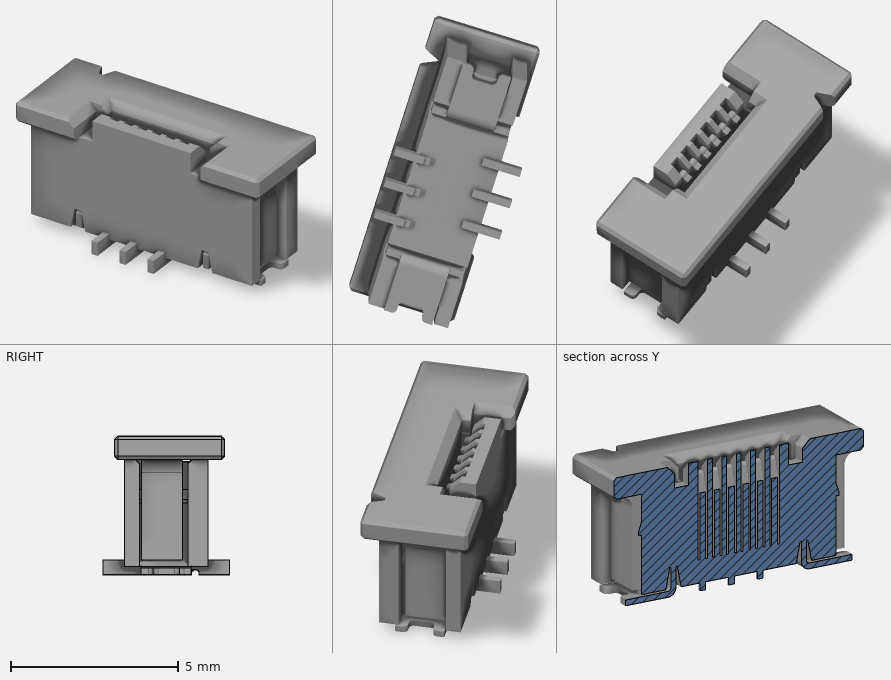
import cadquery as cq
import math


housing_length = 7.9
housing_width = 2.5
housing_bottom = 0.25
front_y = -housing_width / 2
housing_half = housing_length / 2

plate_length = 8.7
plate_front = -1.55
plate_back = 1.75
plate_bottom = 3.45
plate_thickness = 0.7
top_z = plate_bottom + plate_thickness
plate_chamfer = 0.1
plate_gap_half = 2.22
plate_gap_back = -0.3
lead_in = 0.26
opening_half = 1.83
opening_back = -0.04

notch_x = -3.075
notch_mouth = 0.58
notch_floor = 0.14
notch_depth = 0.5

cavity_half = 1.75
cavity_floor = 1.0
wall_back = -0.43
wall_bevel = 0.32
ledge_chamfer = plate_gap_back - wall_back

contact_pitch = 0.5
contact_count = 6
contact_width = 0.22
slot_width = 0.32
slot_front = -0.855
contact_front = -0.76
crown_front = -0.635
crown_back = -0.41
contact_top = 3.75
bump_tip = -0.25
crown_height = 0.08
bump_drop = 0.05
bump_height = 0.3
beam_taper_height = 0.6

leg_reach = 1.9
leg_height = 0.45
front_leg_inner = 0.7
rear_foot_inner = 0.98
rear_lip_y = 0.8
rear_lip_bottom = 0.1
rear_neck_bottom = 0.145
rear_fillet = 0.09

pocket_front = -0.805
pocket_back = 0.645
pocket_depth = 0.55
pocket_chamfer = 0.12
arm_front = -0.745
arm_back = 0.485
arm_bottom = 0.44
arm_recess = 0.26
arm_fillet = 0.38
latch_bottom = 2.15
latch_face_top = 2.26
latch_top = 2.56
latch_height = 0.1
vent_back = 0.72
vent_height = 0.06

tab_thickness = 0.2
tab_width = 1.5
tab_inner_x = 2.17
bend_outer_radius = 0.3
bend_inner_radius = bend_outer_radius - tab_thickness
tab_blade_width = 2.4
tab_bevel_bottom = 0.76
tab_bevel = 0.11
tab_notch_depth = 0.4
tab_notch_half = 0.39
tab_corner_radius = 0.145
groove_top = 0.93
groove_top_half = 0.125
groove_bottom_half = 0.26


def block(x0, x1, y0, y1, z0, z1):
    return cq.Workplane("XY").box(x1 - x0, y1 - y0, z1 - z0, centered=False).translate((x0, y0, z0))


def prism_along_x(points, x0, x1):
    """Extrude a (y, z) polygon from x0 to x1."""
    return cq.Workplane("YZ", origin=(x0, 0, 0)).polyline(points).close().extrude(x1 - x0)


def prism_along_y(points, y0, y1):
    """Extrude an (x, z) polygon from y0 to y1."""
    return cq.Workplane("XZ", origin=(0, y0, 0)).polyline(points).close().extrude(y0 - y1)


def prism_along_z(points, z0, z1):
    """Extrude an (x, y) polygon from z0 to z1."""
    return cq.Workplane("XY", origin=(0, 0, z0)).polyline(points).close().extrude(z1 - z0)


def both_ends(left_part):
    return left_part.union(left_part.mirror("YZ"))


def make_plate():
    plate_half = plate_length / 2
    plate = block(-plate_half, plate_half, plate_front, plate_back, plate_bottom, top_z)
    plate = plate.edges().chamfer(plate_chamfer)

    notch = prism_along_z(
        [
            (notch_x - notch_mouth / 2, plate_back),
            (notch_x - notch_floor / 2, plate_back - notch_depth),
            (notch_x + notch_floor / 2, plate_back - notch_depth),
            (notch_x + notch_mouth / 2, plate_back),
        ],
        plate_bottom,
        top_z,
    )

    gap = prism_along_y(
        [
            (-plate_gap_half, plate_bottom),
            (plate_gap_half, plate_bottom),
            (plate_gap_half, top_z - lead_in),
            (plate_gap_half + lead_in, top_z),
            (-plate_gap_half - lead_in, top_z),
            (-plate_gap_half, top_z - lead_in),
        ],
        plate_front,
        plate_gap_back,
    )
    gap_corner = prism_along_z(
        [
            (plate_gap_half, plate_front),
            (plate_gap_half + plate_chamfer, plate_front),
            (plate_gap_half, plate_front + plate_chamfer),
        ],
        plate_bottom,
        top_z,
    )
    return plate.cut(notch).cut(gap).cut(gap_corner).cut(make_opening())


def make_opening():
    """Cable opening, widened by a 45 degree lead-in at the back and both sides."""
    opening = block(-opening_half, opening_half, wall_back, opening_back, plate_bottom, top_z)
    funnel_width = opening_back + lead_in - front_y
    funnel = (
        cq.Workplane("XY", origin=(0, front_y + funnel_width / 2, top_z))
        .rect(2 * (opening_half + lead_in), funnel_width)
        .extrude(-lead_in, taper=45)
    )
    return opening.union(funnel)


def make_wall():
    """Raised front wall with its back top edge bevelled to guide the cable."""
    return prism_along_x(
        [
            (front_y, plate_bottom),
            (front_y, top_z),
            (wall_back - wall_bevel, top_z),
            (wall_back, top_z - wall_bevel),
            (wall_back, plate_bottom),
        ],
        -cavity_half,
        cavity_half,
    )


def make_ledge_chamfer():
    return prism_along_x(
        [
            (wall_back, plate_bottom),
            (plate_gap_back, plate_bottom),
            (plate_gap_back, plate_bottom - ledge_chamfer),
        ],
        -plate_gap_half,
        -cavity_half,
    )


def make_pocket():
    """Recess in the left end face, flared at its top edges."""
    return prism_along_x(
        [
            (pocket_front, housing_bottom),
            (pocket_front, plate_bottom - pocket_chamfer),
            (pocket_front - pocket_chamfer, plate_bottom),
            (pocket_back + pocket_chamfer, plate_bottom),
            (pocket_back, plate_bottom - pocket_chamfer),
            (pocket_back, housing_bottom),
        ],
        -housing_half,
        -housing_half + pocket_depth,
    )


def make_arm():
    """Actuator arm in the left pocket, blended into the plate by a concave fillet."""
    outer_x = -housing_half + arm_recess
    inner_x = -housing_half + pocket_depth
    fillet_start = plate_bottom - arm_fillet
    arc_reach = arm_fillet * math.sqrt(0.5)
    return (
        cq.Workplane("XZ", origin=(0, arm_back, 0))
        .moveTo(inner_x, arm_bottom)
        .lineTo(outer_x, arm_bottom)
        .lineTo(outer_x, fillet_start)
        .threePointArc(
            (outer_x - arm_fillet + arc_reach, fillet_start + arc_reach),
            (outer_x - arm_fillet, plate_bottom),
        )
        .lineTo(inner_x, plate_bottom)
        .close()
        .extrude(arm_back - arm_front)
    )


def make_latch():
    """Latch ridge across the floor of the left pocket."""
    floor_x = -housing_half + pocket_depth
    return prism_along_y(
        [
            (floor_x, latch_bottom),
            (floor_x - latch_height, latch_bottom),
            (floor_x - latch_height, latch_face_top),
            (floor_x, latch_top),
        ],
        pocket_front,
        pocket_back,
    )


def make_tab_groove():
    """Tapered groove under the left half of the housing, open at front and back."""
    center_x = -tab_inner_x - tab_thickness / 2
    return prism_along_y(
        [
            (center_x - groove_bottom_half, housing_bottom),
            (center_x - groove_top_half, groove_top),
            (center_x + groove_top_half, groove_top),
            (center_x + groove_bottom_half, housing_bottom),
        ],
        front_y,
        -front_y,
    )


def make_tab_blade():
    """Upright blade of the left tab, wider than its foot and bevelled at both top corners."""
    half_width = tab_blade_width / 2
    bevel_inner = half_width - tab_bevel
    return prism_along_x(
        [
            (-half_width, bend_outer_radius),
            (-half_width, tab_bevel_bottom),
            (-bevel_inner, tab_bevel_bottom + tab_bevel),
            (-bevel_inner, groove_top),
            (bevel_inner, groove_top),
            (bevel_inner, tab_bevel_bottom + tab_bevel),
            (half_width, tab_bevel_bottom),
            (half_width, bend_outer_radius),
        ],
        -tab_inner_x - tab_thickness,
        -tab_inner_x,
    )


def make_tab():
    """Left hold-down tab: a forked foot bent up into the housing."""
    outer_x = -tab_inner_x - tab_thickness
    foot_end = -housing_half
    half_width = tab_width / 2
    tab = (
        cq.Workplane("XZ", origin=(0, half_width, 0))
        .moveTo(foot_end, 0)
        .lineTo(-tab_inner_x - bend_outer_radius, 0)
        .radiusArc((-tab_inner_x, bend_outer_radius), -bend_outer_radius)
        .lineTo(-tab_inner_x, groove_top)
        .lineTo(outer_x, groove_top)
        .lineTo(outer_x, bend_outer_radius)
        .radiusArc((outer_x - bend_inner_radius, tab_thickness), bend_inner_radius)
        .lineTo(foot_end, tab_thickness)
        .close()
        .extrude(tab_width)
    )
    fork_end = foot_end + tab_notch_depth
    fork = block(foot_end, fork_end, -tab_notch_half, tab_notch_half, 0, tab_thickness)
    tab = tab.cut(fork)
    for side in (-1, 1):
        corner_y = side * tab_notch_half
        for corner_x in (foot_end, fork_end):
            picker = cq.selectors.NearestToPointSelector((corner_x, corner_y, tab_thickness / 2))
            tab = tab.edges("|Z").edges(picker).fillet(tab_corner_radius)
    return tab.union(make_tab_blade())


def make_slot(x):
    half = slot_width / 2
    return block(x - half, x + half, slot_front, wall_back, cavity_floor, top_z)


def make_contact(x):
    """Spring beam with a rounded top and a contact bump facing the cable."""
    crown_middle = (crown_back + crown_front) / 2
    shoulder_z = contact_top - crown_height
    tip_z = shoulder_z - bump_drop
    return (
        cq.Workplane("YZ", origin=(x - contact_width / 2, 0, 0))
        .moveTo(contact_front, cavity_floor)
        .lineTo(contact_front, shoulder_z - beam_taper_height)
        .lineTo(crown_front, shoulder_z)
        .threePointArc((crown_middle, contact_top), (crown_back, shoulder_z))
        .lineTo(bump_tip, tip_z)
        .lineTo(wall_back, tip_z - bump_height)
        .lineTo(wall_back, cavity_floor)
        .close()
        .extrude(contact_width)
    )


def make_front_leg(x):
    half = contact_width / 2
    return block(x - half, x + half, -leg_reach, -front_leg_inner, 0, leg_height)


def make_rear_leg(x):
    """Rear leg, cut back underneath behind its foot, ending in a 45 degree slope."""
    slope_length = leg_height - rear_lip_bottom
    fillet_top_y = rear_foot_inner - rear_fillet
    return (
        cq.Workplane("YZ", origin=(x - contact_width / 2, 0, 0))
        .moveTo(leg_reach, 0)
        .lineTo(leg_reach, leg_height)
        .lineTo(rear_lip_y - slope_length, leg_height)
        .lineTo(rear_lip_y, rear_lip_bottom)
        .lineTo(rear_lip_y, rear_neck_bottom)
        .lineTo(fillet_top_y, rear_neck_bottom)
        .radiusArc((rear_foot_inner, rear_neck_bottom - rear_fillet), rear_fillet)
        .lineTo(rear_foot_inner, 0)
        .close()
        .extrude(contact_width)
    )


housing = block(-housing_half, housing_half, front_y, -front_y, housing_bottom, plate_bottom)
housing = housing.union(make_wall())
cavity = block(-cavity_half, cavity_half, wall_back, opening_back, cavity_floor, plate_bottom)
housing = housing.cut(cavity)
housing = housing.cut(both_ends(make_ledge_chamfer()))
housing = housing.cut(both_ends(make_pocket()))
housing = housing.cut(both_ends(make_tab_groove()))
vent_bottom = plate_bottom - vent_height
housing = housing.cut(
    block(-housing_half, housing_half, arm_back, vent_back, vent_bottom, plate_bottom)
)

contact_xs = [(i - (contact_count - 1) / 2) * contact_pitch for i in range(contact_count)]
for x in contact_xs:
    housing = housing.cut(make_slot(x))
for index, x in enumerate(contact_xs):
    make_leg = make_front_leg if index % 2 == 0 else make_rear_leg
    housing = housing.union(make_contact(x)).union(make_leg(x))

result = housing.union(make_plate())
for end_part in (make_latch(), make_arm(), make_tab()):
    result = result.union(both_ends(end_part))